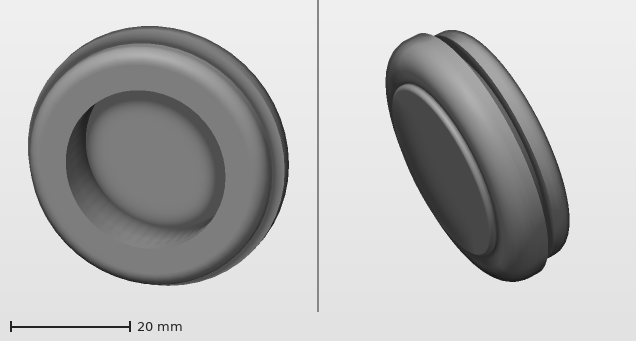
import cadquery as cq

large_flange_diameter = 45.0
small_flange_diameter = 42.0
groove_diameter = 36.0
cap_diameter = 32.0
bore_diameter = 28.0

total_length = 13.5
small_flange_length = 4.0
groove_length = 2.25
large_flange_length = 6.0
cap_length = total_length - small_flange_length - groove_length - large_flange_length
floor_thickness = 1.75
bore_depth = total_length - floor_thickness

small_flange_rounding = 2.48
large_flange_rounding = 4.0
cap_rounding = 0.7


def disc(diameter, start, length):
    """Solid disc about the Y axis, running from start towards +Y."""
    plane = cq.Workplane("XZ", origin=(0, start, 0))
    return plane.circle(diameter / 2).extrude(-length)


groove_start = small_flange_length
large_flange_start = groove_start + groove_length
cap_start = large_flange_start + large_flange_length

small_flange = disc(small_flange_diameter, 0, small_flange_length)
small_flange = small_flange.faces("<Y").edges().fillet(small_flange_rounding)

groove_core = disc(groove_diameter, groove_start, groove_length)

large_flange = disc(large_flange_diameter, large_flange_start, large_flange_length)
large_flange = large_flange.faces(">Y").edges().fillet(large_flange_rounding)

cap = disc(cap_diameter, cap_start, cap_length)
cap = cap.faces(">Y").edges().fillet(cap_rounding)

body = small_flange.union(groove_core).union(large_flange).union(cap)

bore = disc(bore_diameter, 0, bore_depth)
result = body.cut(bore)